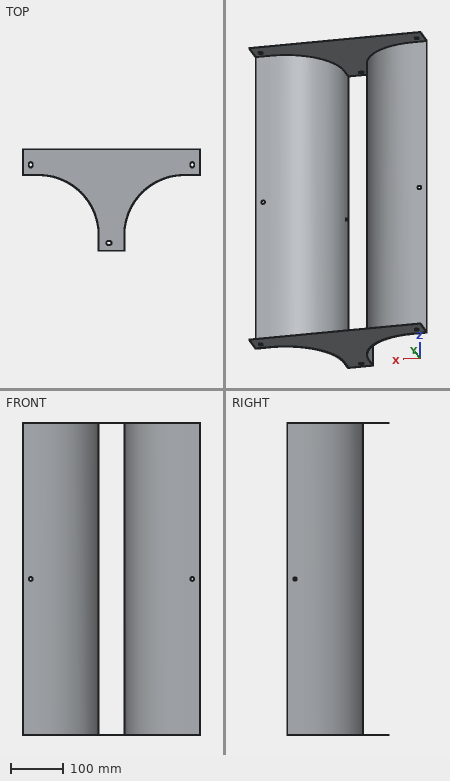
import cadquery as cq
import math

LENGTH = 340.0
DEPTH = 195.0
HEIGHT = 600.0

SHEET = 1.0
BRANCH_WIDTH = 50.0
FLAT = 30.0

PLATE_SLOT_WIDTH = 7.0
PLATE_SLOT_LENGTH = 10.0
WALL_HOLE_DIAMETER = 7.0
SMALL_WALL_HOLE_DIAMETER = 5.0
HOLE_TO_END = 15.0
SLOT_OFFSET = 5.0

HALF_LENGTH = LENGTH / 2
HALF_STEM = BRANCH_WIDTH / 2
ARM_FRONT = DEPTH - BRANCH_WIDTH
BEND_RADIUS = ARM_FRONT - FLAT
BEND_X = HALF_STEM + BEND_RADIUS


def bend_middle(radius, side):
    """Midpoint of a quarter bend of the given radius on one side."""
    reach = radius * math.cos(math.pi / 4)
    return (side * (BEND_X - reach), FLAT + reach)


def tee_plate():
    """Flat tee whose arms blend into the stem through quarter circles."""
    return (
        cq.Workplane("XY")
        .moveTo(-HALF_LENGTH, DEPTH)
        .lineTo(-HALF_LENGTH, ARM_FRONT)
        .lineTo(-BEND_X, ARM_FRONT)
        .threePointArc(bend_middle(BEND_RADIUS, -1), (-HALF_STEM, FLAT))
        .lineTo(-HALF_STEM, 0)
        .lineTo(HALF_STEM, 0)
        .lineTo(HALF_STEM, FLAT)
        .threePointArc(bend_middle(BEND_RADIUS, 1), (BEND_X, ARM_FRONT))
        .lineTo(HALF_LENGTH, ARM_FRONT)
        .lineTo(HALF_LENGTH, DEPTH)
        .close()
        .extrude(SHEET)
    )


def curved_wall(side):
    """Upright sheet following one inner corner of the tee."""
    thick_radius = BEND_RADIUS + SHEET
    inner_x = HALF_STEM - SHEET
    inner_y = ARM_FRONT + SHEET
    return (
        cq.Workplane("XY")
        .moveTo(side * HALF_LENGTH, ARM_FRONT)
        .lineTo(side * BEND_X, ARM_FRONT)
        .threePointArc(bend_middle(BEND_RADIUS, side), (side * HALF_STEM, FLAT))
        .lineTo(side * HALF_STEM, 0)
        .lineTo(side * inner_x, 0)
        .lineTo(side * inner_x, FLAT)
        .threePointArc(bend_middle(thick_radius, side), (side * BEND_X, inner_y))
        .lineTo(side * HALF_LENGTH, inner_y)
        .close()
        .extrude(HEIGHT)
    )


def plate_slots():
    """Vertical cutters through both plates, one near each end of the tee."""
    arm_x = HALF_LENGTH - HOLE_TO_END
    arm_y = DEPTH - BRANCH_WIDTH / 2 - SLOT_OFFSET
    arm_cutters = (
        cq.Workplane("XY")
        .pushPoints([(-arm_x, arm_y), (arm_x, arm_y)])
        .slot2D(PLATE_SLOT_LENGTH, PLATE_SLOT_WIDTH, angle=90)
        .extrude(HEIGHT)
    )
    stem_cutter = (
        cq.Workplane("XY")
        .center(-SLOT_OFFSET, HOLE_TO_END)
        .slot2D(PLATE_SLOT_LENGTH, PLATE_SLOT_WIDTH)
        .extrude(HEIGHT)
    )
    return arm_cutters.union(stem_cutter)


def arm_wall_hole(side):
    """Cutter along Y through the flat end of one wall at an arm."""
    return (
        cq.Workplane("XZ")
        .center(side * (HALF_LENGTH - HOLE_TO_END), HEIGHT / 2)
        .circle(WALL_HOLE_DIAMETER / 2)
        .extrude(-DEPTH)
    )


def stem_wall_hole(side, diameter):
    """Cutter along X from the middle of the stem out through one wall."""
    return (
        cq.Workplane("YZ")
        .center(HOLE_TO_END, HEIGHT / 2)
        .circle(diameter / 2)
        .extrude(side * HALF_STEM)
    )


bottom_plate = tee_plate()
top_plate = tee_plate().translate((0, 0, HEIGHT - SHEET))
shell = bottom_plate.union(top_plate)
stem_hole_diameters = {-1: WALL_HOLE_DIAMETER, 1: SMALL_WALL_HOLE_DIAMETER}
for side, stem_diameter in stem_hole_diameters.items():
    wall = curved_wall(side)
    wall = wall.cut(arm_wall_hole(side))
    wall = wall.cut(stem_wall_hole(side, stem_diameter))
    shell = shell.union(wall)

result = shell.cut(plate_slots())